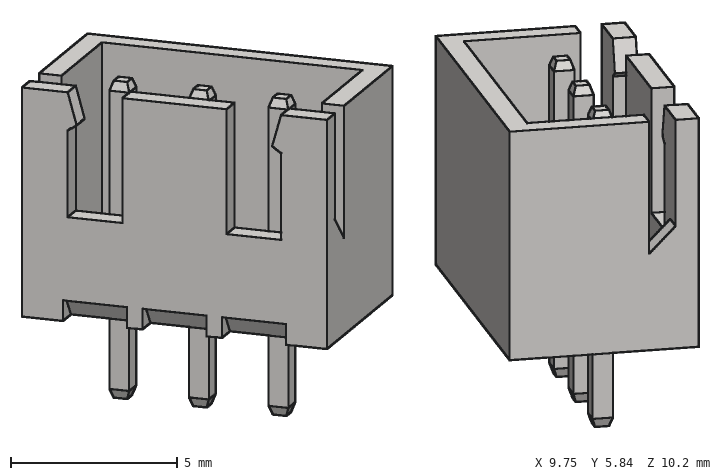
import cadquery as cq

length = 9.75
width = 5.84
total_height = 10.21
body_height = 7.22
wall = 0.71
back_wall = 0.7

window_outer = 3.41
window_inner = 1.66
window_depth = 3.93
barb_reach = 0.29
barb_tip_depth = 1.01
barb_depth = 1.2

slot_width = 0.82
slot_depth = 4.17

notch_length = 2.04
notch_height = 0.65
notch_slope_run = 0.46

pin_pitch = 2.54
pin_count = 3
pin_size = 0.63
pin_y = 2.49
pin_recess = 0.22
pin_top = body_height - pin_recess
pin_bottom = body_height - total_height
tip_length = 0.3
tip_size = 0.43

pin_positions = [(index - (pin_count - 1) / 2) * pin_pitch for index in range(pin_count)]


def block(x_range, y_range, z_range):
    """Axis-aligned box spanning the given ranges."""
    corner = (x_range[0], y_range[0], z_range[0])
    size = [high - low for low, high in (x_range, y_range, z_range)]
    return cq.Workplane("XY").box(*size, centered=False).translate(corner)


def make_shell():
    half = length / 2
    shell = block((-half, half), (0, width), (0, body_height))
    cavity = block(
        (-half + wall, half - wall),
        (wall, width - back_wall),
        (wall, body_height),
    )
    return shell.cut(cavity)


def make_window():
    """Cutter for the right-hand window, barb included."""
    outline = [
        (window_inner, body_height),
        (window_inner, body_height - window_depth),
        (window_outer, body_height - window_depth),
        (window_outer, body_height - barb_depth),
        (window_outer - barb_reach, body_height - barb_tip_depth),
        (window_outer, body_height),
    ]
    return cq.Workplane("XZ").polyline(outline).close().extrude(-wall)


def make_end_slots():
    """Cutter for the slots in both end walls, just behind the front wall."""
    slot_back = wall + slot_width
    outline = [
        (wall, body_height),
        (wall, body_height - slot_depth + slot_width),
        (slot_back, body_height - slot_depth),
        (slot_back, body_height),
    ]
    return cq.Workplane("YZ").polyline(outline).close().extrude(length / 2, both=True)


def make_notch(x):
    """Cutter for the notch in front of the pin at x; it runs out at the back of the front wall."""
    outline = [
        (0, 0),
        (wall, 0),
        (wall - notch_slope_run, notch_height),
        (0, notch_height),
    ]
    notch = cq.Workplane("YZ").polyline(outline).close().extrude(notch_length / 2, both=True)
    return notch.translate((x, 0, 0))


def make_pin(x):
    shaft_bottom = pin_bottom + tip_length
    shaft_top = pin_top - tip_length
    pin = cq.Workplane("XY", origin=(x, pin_y, shaft_bottom))
    pin = pin.rect(pin_size, pin_size).extrude(shaft_top - shaft_bottom)
    for base, direction in ((shaft_top, 1), (shaft_bottom, -1)):
        tip = cq.Workplane("XY", origin=(x, pin_y, base)).rect(pin_size, pin_size)
        tip = tip.workplane(offset=direction * tip_length).rect(tip_size, tip_size).loft()
        pin = pin.union(tip)
    return pin


window = make_window()
result = make_shell().cut(window).cut(window.mirror("YZ")).cut(make_end_slots())
for pin_x in pin_positions:
    result = result.cut(make_notch(pin_x)).union(make_pin(pin_x))